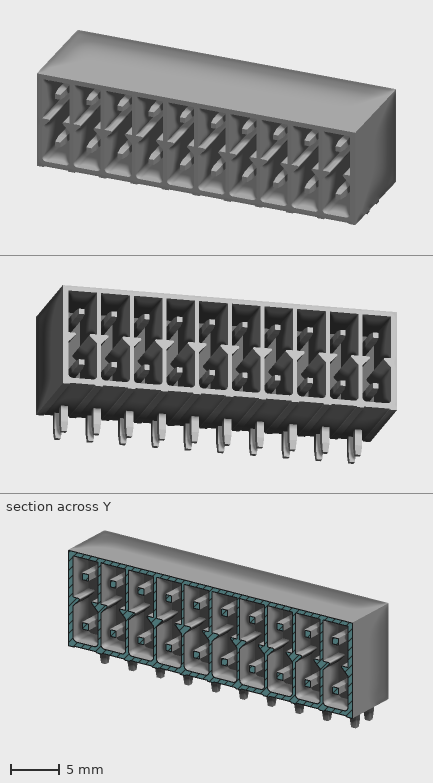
import cadquery as cq


length = 35.8
depth = 11.0
total_height = 13.3
tail_length = 2.6
housing_height = total_height - tail_length
cell_count = 10
end_margin = 2.15
pitch = (length - 2 * end_margin) / (cell_count - 1)
first_cell_x = end_margin - length / 2
cell_centers = [first_cell_x + i * pitch for i in range(cell_count)]
front_y = -depth / 2
back_y = depth / 2

rib_thickness = 0.43
cell_half_width = (pitch - rib_thickness) / 2
cell_top = housing_height - 0.55
cell_floor = 0.68
cell_depth = 7.15
floor_corner_radius = 0.43

ledge_top = housing_height - 5.1
ledge_reach = 1.0
ledge_bottom = ledge_top - ledge_reach
ledge_nose_radius = 0.15
nose_margin = 0.05

relief_width = 2.72
relief_height = 0.1

pin_size = 0.8
pin_tip_size = 0.57
pin_taper = 1.0
contact_setback = 0.5
contact_heights = [housing_height - 2.55, housing_height - 8.05]
rear_tail_y = back_y - 0.55
tail_row_spacing = 2.5
tail_rows = [rear_tail_y, rear_tail_y - tail_row_spacing]
pin_embed = 0.35


def cell_cavity():
    """Cell opening, centered on X = 0, from the front face to the cell's back wall."""
    right_side = [
        (cell_half_width, cell_top),
        (cell_half_width, ledge_top),
        (cell_half_width - ledge_reach, ledge_top),
        (cell_half_width, ledge_bottom),
        (cell_half_width, cell_floor),
    ]
    left_side = [(-x, z) for x, z in reversed(right_side)]
    cavity = (
        cq.Workplane("XZ", origin=(0, front_y, 0))
        .polyline(right_side + left_side)
        .close()
        .extrude(-cell_depth)
    )
    nose_x = cell_half_width - ledge_reach
    nose_edges = cq.selectors.BoxSelector(
        (-nose_x - nose_margin, front_y - nose_margin, ledge_top - nose_margin),
        (nose_x + nose_margin, front_y + cell_depth + nose_margin, ledge_top + nose_margin),
    )
    cavity = cavity.edges(nose_edges).edges("|Y").fillet(ledge_nose_radius)
    return cavity.edges("|Y and <Z").fillet(floor_corner_radius)


def underside_relief():
    """Shallow channel under one cell, running the full depth of the housing."""
    return cq.Workplane("XY").box(relief_width, depth, relief_height, centered=(True, True, False))


def tapered_pin(base, straight_length):
    """Square pin grown from a base workplane and narrowed toward its tip."""
    shaft = base.rect(pin_size, pin_size).extrude(straight_length)
    tip = (
        base.workplane(offset=straight_length)
        .rect(pin_size, pin_size)
        .workplane(offset=pin_taper)
        .rect(pin_tip_size, pin_tip_size)
        .loft(ruled=True)
    )
    return shaft.union(tip)


def contact(x, z):
    """Mating contact that points forward from the back wall of a cell."""
    base = cq.Workplane("XZ", origin=(x, front_y + cell_depth + pin_embed, z))
    straight_length = cell_depth + pin_embed - contact_setback - pin_taper
    return tapered_pin(base, straight_length)


def solder_tail(x, y):
    """Solder tail that points down from the underside of the housing."""
    base = cq.Workplane("XY", origin=(x, y, pin_embed)).transformed(rotate=(180, 0, 0))
    straight_length = pin_embed + tail_length - pin_taper
    return tapered_pin(base, straight_length)


result = cq.Workplane("XY").box(length, depth, housing_height, centered=(True, True, False))

for cell_x in cell_centers:
    result = result.cut(cell_cavity().translate((cell_x, 0, 0)))
    result = result.cut(underside_relief().translate((cell_x, 0, 0)))

for cell_x in cell_centers:
    for contact_z in contact_heights:
        result = result.union(contact(cell_x, contact_z))
    for tail_y in tail_rows:
        result = result.union(solder_tail(cell_x, tail_y))